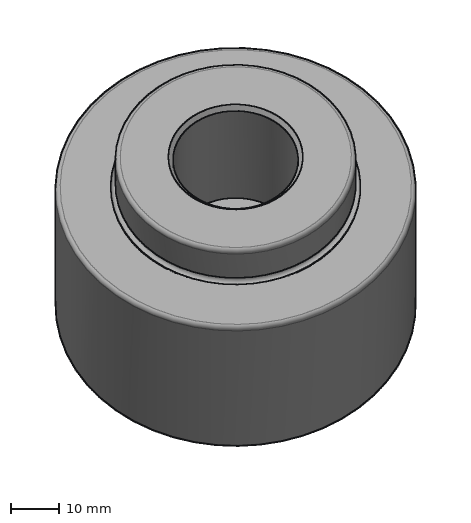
import cadquery as cq

body_diameter = 75.0
boss_diameter = 50.0
total_height = 50.0
body_height = 40.05
bore_diameter = 26.0
bore_depth = 30.0
through_diameter = 16.0
edge_size = 1.0


def rounded_body():
    """Main cylinder with both rims rounded."""
    body = cq.Workplane("XY").circle(body_diameter / 2).extrude(body_height)
    return body.edges().fillet(edge_size)


def rounded_boss():
    """Upper cylinder with a rounded top rim."""
    boss = (
        cq.Workplane("XY")
        .workplane(offset=body_height)
        .circle(boss_diameter / 2)
        .extrude(total_height - body_height)
    )
    return boss.faces(">Z").edges().fillet(edge_size)


def relief_groove():
    """Ring of round section centred on the corner between boss and shoulder."""
    return (
        cq.Workplane("XZ")
        .center(boss_diameter / 2, body_height)
        .circle(edge_size)
        .revolve(360, (-boss_diameter / 2, 0), (-boss_diameter / 2, 1))
    )


def stepped_bore():
    """Through hole, wide upper bore and its chamfered mouth as one cutter."""
    through_radius = through_diameter / 2
    bore_radius = bore_diameter / 2
    bore_floor = total_height - bore_depth
    return (
        cq.Workplane("XZ")
        .moveTo(0, 0)
        .lineTo(through_radius, 0)
        .lineTo(through_radius, bore_floor)
        .lineTo(bore_radius, bore_floor)
        .lineTo(bore_radius, total_height - edge_size)
        .lineTo(bore_radius + edge_size, total_height)
        .lineTo(0, total_height)
        .close()
        .revolve(360, (0, 0), (0, 1))
    )


result = rounded_body().union(rounded_boss()).cut(relief_groove()).cut(stepped_bore())